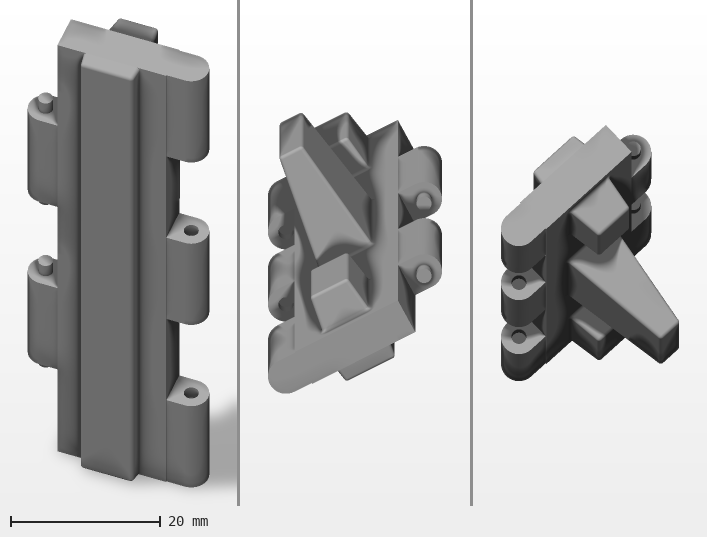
import cadquery as cq

length = 80.0
plate_width = 15.5
plate_thickness = 5.0

overall_width = 25.6
knuckle_thickness = 4.8
knuckle_count = 5
pin_diameter = 2.0
pin_projection = 2.0
socket_depth = 2.0

draft_angle = 8.0
edge_radius = 0.5
rib_width = 8.0
rib_height = 2.0
tooth_width = 8.0
tooth_length = 20.0
tooth_height = 16.0
stub_width = 7.0
stub_length = 13.4
stub_height = 5.0
stub_end_gap = 2.0

knuckle_radius = knuckle_thickness / 2
knuckle_length = length / knuckle_count
axis_x = overall_width / 2 - knuckle_radius
front_y = -plate_thickness / 2
rear_y = plate_thickness / 2
stub_z = length / 2 - stub_end_gap - stub_length / 2


def make_rib():
    """Drafted rib whose base runs the full length of the plate front."""
    base = cq.Workplane("XZ", origin=(0, front_y, 0)).rect(rib_width, length)
    rib = base.extrude(rib_height, taper=draft_angle)
    return rib.edges("not >Y").fillet(edge_radius)


def add_tooth(body, z, width, base_length, height):
    """Join a drafted tooth to the plate rear at height z and fillet its root."""
    base = cq.Workplane("XZ", origin=(0, rear_y, z)).rect(width, base_length)
    tooth = base.extrude(-height, taper=draft_angle)
    tooth = tooth.edges("not <Y").fillet(edge_radius)

    margin = 0.1
    root_box = cq.selectors.BoxSelector(
        (-width / 2 - margin, rear_y - margin, z - base_length / 2 - margin),
        (width / 2 + margin, rear_y + margin, z + base_length / 2 + margin),
    )
    return body.union(tooth).edges(root_box).fillet(edge_radius)


def make_knuckle(side, z):
    """Rounded lug centred at height z; side is -1 for left and +1 for right."""
    web_width = axis_x - plate_width / 2
    web_x = side * (axis_x - web_width / 2)
    section = cq.Workplane("XY", origin=(side * axis_x, 0, z))
    barrel = section.circle(knuckle_radius).extrude(knuckle_length / 2, both=True)
    web = cq.Workplane("XY", origin=(web_x, 0, z)).box(web_width, knuckle_thickness, knuckle_length)
    return barrel.union(web)


def make_pin_shape(x, z, half_span):
    """Cylinder of pin size parallel to Z, reaching half_span above and below z."""
    return cq.Workplane("XY", origin=(x, 0, z)).circle(pin_diameter / 2).extrude(half_span, both=True)


result = cq.Workplane("XY").box(plate_width, plate_thickness, length).union(make_rib())

result = add_tooth(result, 0, tooth_width, tooth_length, tooth_height)
for end in (-1, 1):
    result = add_tooth(result, end * stub_z, stub_width, stub_length, stub_height)

for index in range(knuckle_count):
    knuckle_z = (index + 0.5) * knuckle_length - length / 2
    if index % 2 == 0:
        result = result.union(make_knuckle(1, knuckle_z))
    else:
        result = result.union(make_knuckle(-1, knuckle_z))
        result = result.union(make_pin_shape(-axis_x, knuckle_z, knuckle_length / 2 + pin_projection))

for index in range(1, knuckle_count):
    knuckle_end_z = index * knuckle_length - length / 2
    result = result.cut(make_pin_shape(axis_x, knuckle_end_z, socket_depth))